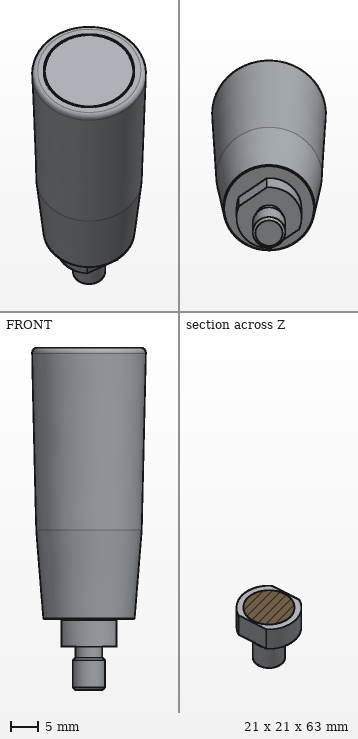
import cadquery as cq

overall_height = 63.0
grip_bottom = 13.05
grip_break = 29.5
collar_top = 12.85
collar_bottom = 8.0
neck_bottom = 6.0

grip_top_diameter = 21.05
grip_break_diameter = 19.45
grip_bottom_diameter = 16.8
grip_top_fillet = 1.0
grip_bottom_chamfer = 0.2

cap_diameter = 16.25
groove_diameter = 16.7
groove_depth = 0.5

collar_diameter = 12.0
collar_across_flats = 10.15

spacer_diameter = 9.45

stud_diameter = 6.0
neck_diameter = 5.0
stud_chamfer = (stud_diameter - neck_diameter) / 2


def make_grip():
    """Tapered handle body with a rounded top rim and a chamfered bottom rim."""
    profile = (
        cq.Workplane("XZ")
        .moveTo(0, grip_bottom)
        .lineTo(grip_bottom_diameter / 2, grip_bottom)
        .lineTo(grip_break_diameter / 2, grip_break)
        .lineTo(grip_top_diameter / 2, overall_height)
        .lineTo(0, overall_height)
        .close()
    )
    grip = profile.revolve(360, (0, 0, 0), (0, 1, 0))
    grip = grip.faces("<Z").edges().chamfer(grip_bottom_chamfer)
    return grip.faces(">Z").edges().fillet(grip_top_fillet)


def make_cap_groove():
    """Ring removed from the top face to outline the end cap."""
    return (
        cq.Workplane("XY")
        .workplane(offset=overall_height - groove_depth)
        .circle(groove_diameter / 2)
        .circle(cap_diameter / 2)
        .extrude(groove_depth)
    )


def make_collar():
    """Round collar with a flat on each X side."""
    height = collar_top - collar_bottom
    plane = cq.Workplane("XY").workplane(offset=collar_bottom)
    flats = plane.rect(collar_across_flats, collar_diameter).extrude(height)
    return plane.circle(collar_diameter / 2).extrude(height).intersect(flats)


def make_spacer():
    """Short neck joining the collar to the grip."""
    return (
        cq.Workplane("XY")
        .workplane(offset=collar_top)
        .circle(spacer_diameter / 2)
        .extrude(grip_bottom - collar_top)
    )


def make_stud():
    """Plain stud chamfered at both ends, with its relief neck."""
    stud = cq.Workplane("XY").circle(stud_diameter / 2).extrude(neck_bottom)
    stud = stud.faces("<Z or >Z").edges().chamfer(stud_chamfer)
    neck = (
        cq.Workplane("XY")
        .workplane(offset=neck_bottom)
        .circle(neck_diameter / 2)
        .extrude(collar_bottom - neck_bottom)
    )
    return stud.union(neck)


grip = make_grip().cut(make_cap_groove())
result = grip.union(make_spacer()).union(make_collar()).union(make_stud())